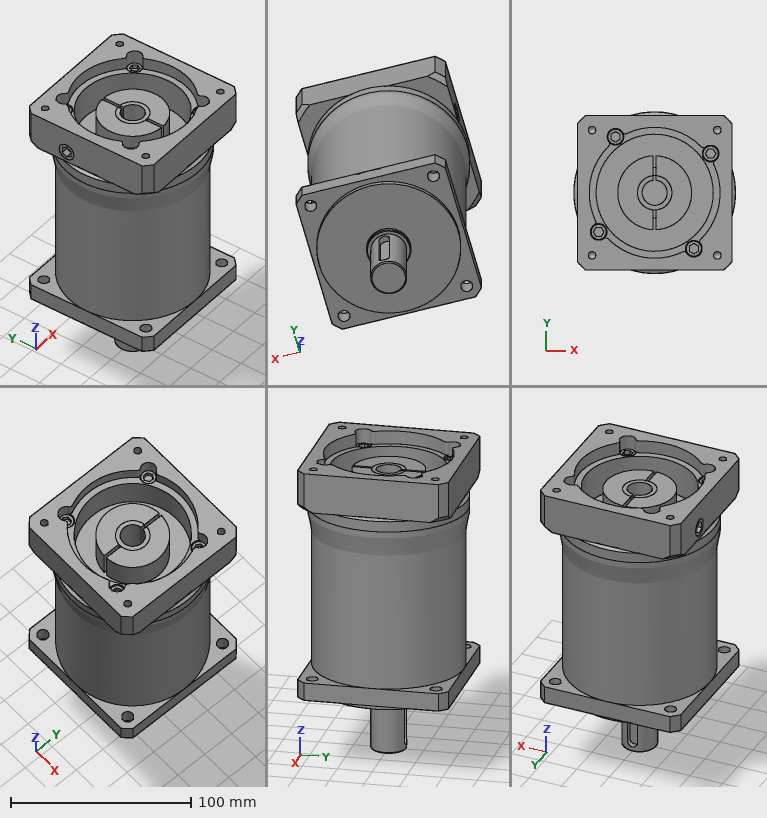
import cadquery as cq
import math

TOP_Z = 174
PLATE_BOTTOM_Z = 151.2
JOINT_Z = 143.9
HEAD_CONE_TOP_Z = 140.0
HEAD_CONE_BOTTOM_Z = 129.1
FLANGE_TOP_Z = 50.3
FLANGE_BOTTOM_Z = 40
PILOT_BOTTOM_Z = 37.0
COLLAR_BOTTOM_Z = 34.8
LEDGE_Z = 166.3
BORE_FLOOR_Z = 146.2
HUB_TOP_Z = 164.8

PLATE_WIDTH = 86.0
CORNER_RADIUS = 57.6
CORNER_CHAMFER = 3.0
PLATE_HALF_WIDTH = PLATE_WIDTH / 2

HEAD_DIAMETER = 90.0
HEAD_RADIUS = HEAD_DIAMETER / 2
HEAD_TOP_CHAMFER_HEIGHT = 1.2
HEAD_TOP_CHAMFER_WIDTH = 2.1
BARREL_RADIUS = PLATE_HALF_WIDTH
PILOT_RADIUS = 40
COLLAR_RADIUS = 12.4
COLLAR_CHAMFER = 0.5
SHAFT_DIAMETER = 20.0
SHAFT_RADIUS = SHAFT_DIAMETER / 2
SHAFT_CHAMFER = 0.7
KEYWAY_WIDTH = 6.0
KEYWAY_DEPTH = 3.5
KEYWAY_BOTTOM_Z = 3.1
KEYWAY_TOP_Z = 32.7
FLANGE_HOLE_RADIUS = 3.3
FLANGE_HOLE_OFFSET = 35.3

POCKET_RADIUS = 36.4
BORE_RADIUS = 32.5
MOTOR_HOLE_RADIUS = 2.1
MOTOR_HOLE_OFFSET = 34.8
MOTOR_HOLE_DEPTH = 15.7
DRILL_TIP_ANGLE = 118
SCREW_CIRCLE_RADIUS = 38.0
SCREW_FIRST_ANGLE = 35
SCREW_COUNT = 4
SCREW_HOLE_DIAMETER = 9.2
SCREW_HOLE_RADIUS = SCREW_HOLE_DIAMETER / 2
SCREW_HEAD_RADIUS = 4.2
SCREW_HEAD_TOP_Z = 165.6
SCREW_HEAD_HEIGHT = 5.0
SCREW_HEX_FLATS = 5.0
SCREW_HEX_DEPTH = 2.6
SCALLOP_FILLET = 1.7

PLUG_RADIUS = 5.0
PLUG_LENGTH = 7
PLUG_Y = 14
PLUG_Z = 158.2
PLUG_HEX_FLATS = 6.0
PLUG_HEX_DEPTH = 4.4

HUB_RADIUS = 20.5
HUB_STEM_RADIUS = 14
HUB_STEM_LENGTH = 14
BUSHING_RADIUS = 9.5
BUSHING_BORE_RADIUS = 7
BUSHING_LENGTH = 24.4
BUSHING_BOTTOM_Z = HUB_TOP_Z - BUSHING_LENGTH
SLOT_WIDTH = 1.7
SLOT_DEPTH_IN_STEM = 1.7


def cylinder(radius, bottom_z, top_z, x=0, y=0):
    """Upright cylinder between two heights."""
    return cq.Workplane("XY", origin=(x, y, bottom_z)).circle(radius).extrude(top_z - bottom_z)


def block(width_x, width_y, bottom_z, top_z, y=0):
    """Upright block between two heights, centred on X = 0 and the given Y."""
    return cq.Workplane("XY", origin=(0, y, bottom_z)).rect(width_x, width_y).extrude(top_z - bottom_z)


def hexagon_diameter(across_flats):
    """Corner-to-corner size of a hexagon."""
    return across_flats / math.cos(math.pi / 6)


def square_points(offset):
    """X, Y of the four corners of a square centred on the axis."""
    return [(x, y) for x in (-offset, offset) for y in (-offset, offset)]


def screw_places():
    """Angle in degrees and X, Y of each fixing screw."""
    places = []
    for i in range(SCREW_COUNT):
        degrees = SCREW_FIRST_ANGLE + i * 360 / SCREW_COUNT
        radians = math.radians(degrees)
        x = SCREW_CIRCLE_RADIUS * math.cos(radians)
        y = SCREW_CIRCLE_RADIUS * math.sin(radians)
        places.append((degrees, x, y))
    return places


def square_plate(bottom_z, top_z, bottom_chamfer=0):
    """Square plate whose corners are turned round, and optionally bevelled underneath."""
    disc = cylinder(CORNER_RADIUS, bottom_z, top_z)
    if bottom_chamfer:
        disc = disc.faces("<Z").chamfer(bottom_chamfer)
    return block(PLATE_WIDTH, PLATE_WIDTH, bottom_z, top_z).intersect(disc)


def hub_stem():
    """Lower part of the hub, which also shapes its recess in the gearbox."""
    return cylinder(HUB_STEM_RADIUS, BORE_FLOOR_Z - HUB_STEM_LENGTH, BORE_FLOOR_Z)


def plug_blank():
    """Plug without its socket, which also shapes its recess in the adapter."""
    return cq.Workplane("YZ", origin=(-PLATE_HALF_WIDTH, PLUG_Y, PLUG_Z)).circle(PLUG_RADIUS).extrude(PLUG_LENGTH)


def make_keyway():
    """Round-ended keyway on the +Y side of the output shaft."""
    return (
        cq.Workplane("XZ", origin=(0, SHAFT_RADIUS, (KEYWAY_BOTTOM_Z + KEYWAY_TOP_Z) / 2))
        .slot2D(KEYWAY_TOP_Z - KEYWAY_BOTTOM_Z, KEYWAY_WIDTH, 90)
        .extrude(KEYWAY_DEPTH)
    )


def make_gearbox():
    """Turned body from spigot to output shaft, with a square mounting flange."""
    profile = [
        (0, BORE_FLOOR_Z),
        (BORE_RADIUS, BORE_FLOOR_Z),
        (BORE_RADIUS, JOINT_Z),
        (HEAD_RADIUS, JOINT_Z),
        (HEAD_RADIUS, HEAD_CONE_TOP_Z),
        (BARREL_RADIUS, HEAD_CONE_BOTTOM_Z),
        (BARREL_RADIUS, FLANGE_BOTTOM_Z),
        (PILOT_RADIUS, FLANGE_BOTTOM_Z),
        (PILOT_RADIUS, PILOT_BOTTOM_Z),
        (COLLAR_RADIUS, PILOT_BOTTOM_Z),
        (COLLAR_RADIUS, COLLAR_BOTTOM_Z + COLLAR_CHAMFER),
        (COLLAR_RADIUS - COLLAR_CHAMFER, COLLAR_BOTTOM_Z),
        (SHAFT_RADIUS, COLLAR_BOTTOM_Z),
        (SHAFT_RADIUS, SHAFT_CHAMFER),
        (SHAFT_RADIUS - SHAFT_CHAMFER, 0),
        (0, 0),
    ]
    body = cq.Workplane("XZ").polyline(profile).close().revolve(360, (0, 0), (0, 1))
    body = body.union(square_plate(FLANGE_BOTTOM_Z, FLANGE_TOP_Z))
    for x, y in square_points(FLANGE_HOLE_OFFSET):
        body = body.cut(cylinder(FLANGE_HOLE_RADIUS, FLANGE_BOTTOM_Z, FLANGE_TOP_Z, x, y))
    return body.cut(make_keyway()).cut(hub_stem())


def make_motor_pocket():
    """Round pocket for the motor, scalloped around the fixing screws."""
    pocket = cylinder(POCKET_RADIUS, LEDGE_Z, TOP_Z)
    for _, x, y in screw_places():
        pocket = pocket.union(cylinder(SCREW_HOLE_RADIUS, LEDGE_Z, TOP_Z, x, y))
    return pocket.edges("|Z").fillet(SCALLOP_FILLET)


def make_drilled_hole():
    """Blind hole with a conical bottom, on the Z axis."""
    bottom_z = TOP_Z - MOTOR_HOLE_DEPTH
    tip_height = MOTOR_HOLE_RADIUS / math.tan(math.radians(DRILL_TIP_ANGLE / 2))
    profile = [
        (0, TOP_Z),
        (MOTOR_HOLE_RADIUS, TOP_Z),
        (MOTOR_HOLE_RADIUS, bottom_z),
        (0, bottom_z - tip_height),
    ]
    return cq.Workplane("XZ").polyline(profile).close().revolve(360, (0, 0), (0, 1))


def add_screw_head(body, degrees, x, y):
    """Add a socket screw head standing in a slightly wider sunken hole."""
    bottom_z = SCREW_HEAD_TOP_Z - SCREW_HEAD_HEIGHT
    hole = cylinder(SCREW_HOLE_RADIUS, bottom_z, LEDGE_Z, x, y)
    head = cylinder(SCREW_HEAD_RADIUS, bottom_z, SCREW_HEAD_TOP_Z, x, y)
    socket = (
        cq.Workplane("XY", origin=(x, y, SCREW_HEAD_TOP_Z))
        .transformed(rotate=(0, 0, degrees - SCREW_FIRST_ANGLE))
        .polygon(6, hexagon_diameter(SCREW_HEX_FLATS))
        .extrude(-SCREW_HEX_DEPTH)
    )
    return body.cut(hole).union(head).cut(socket)


def make_adapter():
    """Motor plate and head ring in one, bored through to fit over the gearbox spigot."""
    plate = square_plate(PLATE_BOTTOM_Z, TOP_Z, CORNER_CHAMFER)
    ring = cylinder(HEAD_RADIUS, JOINT_Z, PLATE_BOTTOM_Z)
    ring = ring.faces(">Z").chamfer(HEAD_TOP_CHAMFER_HEIGHT, HEAD_TOP_CHAMFER_WIDTH)
    body = plate.union(ring).cut(make_motor_pocket()).cut(cylinder(BORE_RADIUS, JOINT_Z, LEDGE_Z))
    for degrees, x, y in screw_places():
        body = add_screw_head(body, degrees, x, y)
    for x, y in square_points(MOTOR_HOLE_OFFSET):
        body = body.cut(make_drilled_hole().translate((x, y, 0)))
    return body.cut(plug_blank())


def make_plug():
    """Hexagon-socket plug closing the clamp-screw access, flush with the adapter side."""
    socket = (
        cq.Workplane("YZ", origin=(-PLATE_HALF_WIDTH, PLUG_Y, PLUG_Z))
        .transformed(rotate=(0, 0, 90))
        .polygon(6, hexagon_diameter(PLUG_HEX_FLATS))
        .extrude(PLUG_HEX_DEPTH)
    )
    return plug_blank().cut(socket)


def make_hub():
    """Split clamping hub on a thinner stem, bored for the bushing."""
    hub = cylinder(HUB_RADIUS, BORE_FLOOR_Z, HUB_TOP_Z).union(hub_stem())
    hub = hub.cut(cylinder(BUSHING_RADIUS, BUSHING_BOTTOM_Z, HUB_TOP_Z))
    slot = block(SLOT_WIDTH, 2 * HUB_RADIUS, BORE_FLOOR_Z - SLOT_DEPTH_IN_STEM, HUB_TOP_Z)
    return hub.cut(slot)


def make_bushing():
    """Sleeve slit along its +Y side."""
    bushing = cylinder(BUSHING_RADIUS, BUSHING_BOTTOM_Z, HUB_TOP_Z)
    bushing = bushing.cut(cylinder(BUSHING_BORE_RADIUS, BUSHING_BOTTOM_Z, HUB_TOP_Z))
    slit = block(SLOT_WIDTH, BUSHING_RADIUS, BUSHING_BOTTOM_Z, HUB_TOP_Z, y=BUSHING_RADIUS / 2)
    return bushing.cut(slit)


gearbox = make_gearbox()
adapter = make_adapter()
plug = make_plug()
hub = make_hub()
bushing = make_bushing()

result = cq.Compound.makeCompound([gearbox.val(), adapter.val(), plug.val(), hub.val(), bushing.val()])